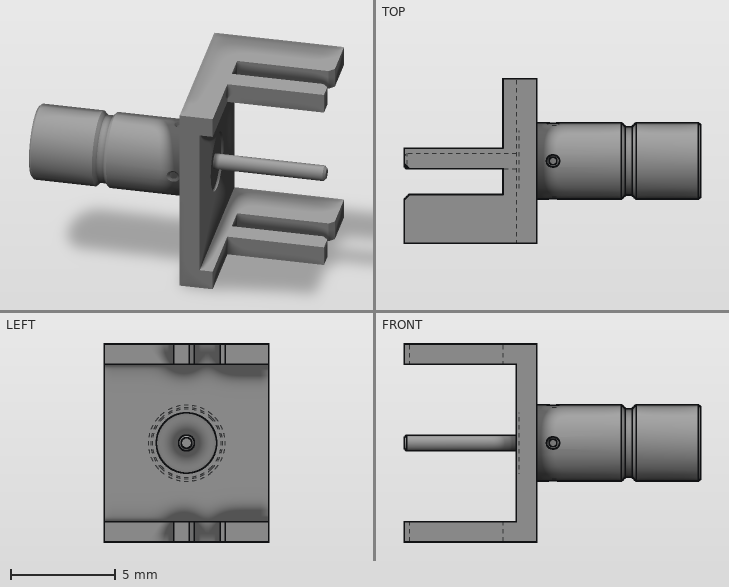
import cadquery as cq


bracket_depth = 6.38
bracket_width = 7.92
bracket_height = 9.53
wall = 0.99
web_depth = 1.63
thin_leg_top = 0.62
slot_top = -0.38
slot_bottom = -1.61
leg_chamfer = 0.25

barrel_length = 7.89
barrel_diameter = 3.68
end_chamfer = 0.12
groove_diameter = 3.3
groove_width = 0.7
groove_to_end = 3.12

dimple_x = 0.78
dimple_count = 4
dimple_diameter = 0.63
dimple_floor_diameter = 0.38
dimple_depth = 0.125

insulator_diameter = 2.9
insulator_recess = 0.12
pin_diameter = 0.76
pin_tip_diameter = 0.51
pin_chamfer = (pin_diameter - pin_tip_diameter) / 2


def make_bracket():
    """U-shaped bracket whose side walls end in one thin and one wide leg."""
    leg_end = -bracket_depth
    web_edge = -web_depth
    half_width = bracket_width / 2
    profile = [
        (0, half_width),
        (web_edge, half_width),
        (web_edge, thin_leg_top),
        (leg_end, thin_leg_top),
        (leg_end, slot_top + leg_chamfer),
        (leg_end + leg_chamfer, slot_top),
        (web_edge, slot_top),
        (web_edge, slot_bottom),
        (leg_end + leg_chamfer, slot_bottom),
        (leg_end, slot_bottom - leg_chamfer),
        (leg_end, -half_width),
        (0, -half_width),
    ]
    block = cq.Workplane("XY").polyline(profile).close().extrude(bracket_height / 2, both=True)
    opening = cq.Workplane("XY").box(
        bracket_depth, bracket_width, bracket_height - 2 * wall
    ).translate((-wall - bracket_depth / 2, 0, 0))
    return block.cut(opening)


def make_barrel():
    """Turned barrel with a V-sided groove and a chamfered free end."""
    radius = barrel_diameter / 2
    groove_radius = groove_diameter / 2
    groove_depth = radius - groove_radius
    groove_end = barrel_length - groove_to_end
    groove_start = groove_end - groove_width
    profile = [
        (0, 0),
        (0, radius),
        (groove_start, radius),
        (groove_start + groove_depth, groove_radius),
        (groove_end - groove_depth, groove_radius),
        (groove_end, radius),
        (barrel_length - end_chamfer, radius),
        (barrel_length, radius - end_chamfer),
        (barrel_length, 0),
    ]
    return cq.Workplane("XY").polyline(profile).close().revolve(360, (0, 0, 0), (1, 0, 0))


def cut_dimples(body):
    """Conical flat-bottomed dimples, evenly spaced around the barrel."""
    surface = barrel_diameter / 2
    dimple = (
        cq.Workplane("XY", origin=(dimple_x, 0, surface - dimple_depth))
        .circle(dimple_floor_diameter / 2)
        .workplane(offset=dimple_depth)
        .circle(dimple_diameter / 2)
        .loft()
    )
    for index in range(dimple_count):
        angle = index * 360 / dimple_count
        body = body.cut(dimple.rotate((0, 0, 0), (1, 0, 0), angle))
    return body


def cut_insulator_recess(body):
    """Shallow round step where the insulator sits below the inner flange face."""
    recess = cq.Workplane("YZ", origin=(-wall, 0, 0)).circle(insulator_diameter / 2).extrude(insulator_recess)
    return body.cut(recess)


def make_pin():
    """Centre pin reaching from the flange to the leg ends, with a chamfered tip."""
    return (
        cq.Workplane("YZ", origin=(-bracket_depth, 0, 0))
        .circle(pin_diameter / 2)
        .extrude(bracket_depth)
        .faces("<X")
        .chamfer(pin_chamfer)
    )


body = make_bracket().union(make_barrel())
body = cut_dimples(body)
body = cut_insulator_recess(body)
result = body.union(make_pin())